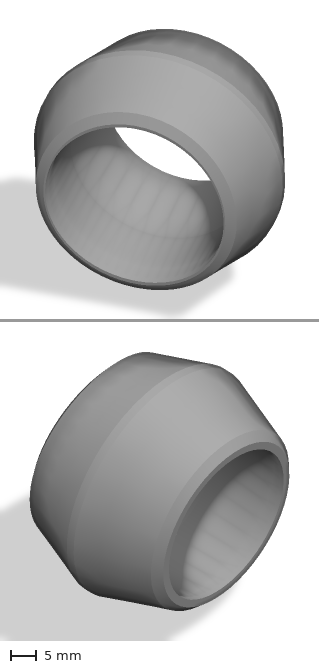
import cadquery as cq
import math

outer_radius = 25.4
length = 34.3
back_y = length / 2
front_y = -length / 2

belt_back_y = 0.0
belt_width = 1.8
belt_front_y = belt_back_y - belt_width
cone_angle = math.radians(19)

back_bevel_length = 1.7
back_rim_radius = 18.35
front_bevel = 1.45

bore_radius = 18.25
back_bore_radius = 16.65
taper_start_y = -0.6

saddle_depth = 0.9
saddle_rim_radius = 18.35
saddle_radius = (saddle_rim_radius**2 + saddle_depth**2) / (2 * saddle_depth)
saddle_top_y = front_y + saddle_depth

margin = 1.0


def cone_radius(distance_from_belt):
    return outer_radius - distance_from_belt * math.tan(cone_angle)


def revolve_about_y(points):
    return cq.Workplane("YZ").polyline(points).close().revolve(360, (0, 0, 0), (1, 0, 0))


def make_outer_body():
    stock_front_y = front_y - margin
    bevel_start_y = back_y - back_bevel_length
    return revolve_about_y([
        (stock_front_y, 0),
        (stock_front_y, cone_radius(belt_front_y - stock_front_y)),
        (belt_front_y, outer_radius),
        (belt_back_y, outer_radius),
        (bevel_start_y, cone_radius(bevel_start_y - belt_back_y)),
        (back_y, back_rim_radius),
        (back_y, 0),
    ])


def make_saddle():
    return (
        cq.Workplane("XY")
        .center(0, saddle_top_y - saddle_radius)
        .circle(saddle_radius)
        .extrude(outer_radius + margin, both=True)
    )


def make_bore():
    bore_front_y = front_y - margin
    return revolve_about_y([
        (bore_front_y, 0),
        (bore_front_y, bore_radius),
        (taper_start_y, bore_radius),
        (back_y, back_bore_radius),
        (back_y, 0),
    ])


body = make_outer_body().cut(make_saddle())
body = body.faces("<Y").edges().chamfer(front_bevel)
result = body.cut(make_bore())